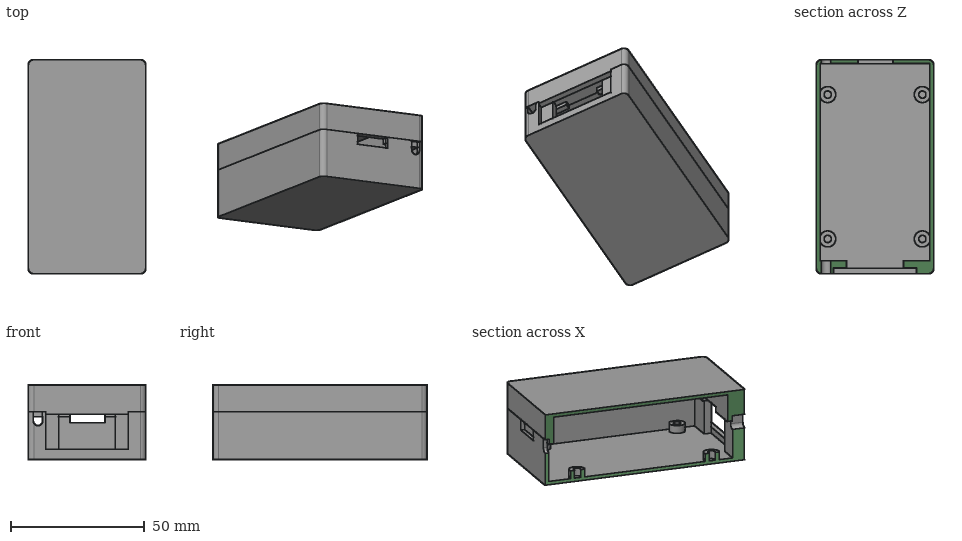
import cadquery as cq

WIDTH = 44.0
LENGTH = 80.1
HEIGHT = 28.0
CORNER_RADIUS = 2.0
SPLIT_Z = 18.0

WALL = 1.5
FRONT_WALL = 5.0

RECESS_WIDTH = 31.0
RECESS_BOTTOM = 3.9
RECESS_DEPTH = 2.2
WINDOW_WIDTH = 21.15
TAB_DROP = 1.05

REAR_OPENING_WIDTH = 13.0
REAR_OPENING_BOTTOM = 13.85
REAR_OPENING_X = 0.2

CABLE_SLOT_WIDTH = 3.4
CABLE_SLOT_BOTTOM = 12.8
CABLE_SLOT_X = -18.35

LIP_DEPTH = 2.0
LIP_THICKNESS = 2.0

POST_DIAMETER = 6.0
POST_HOLE_DIAMETER = 2.7
POST_HEIGHT = 3.05
POST_X = 17.7
POST_Y = 27.0

FRONT_Y = -LENGTH / 2
CAVITY_WIDTH = WIDTH - 2 * WALL
CAVITY_FRONT = FRONT_Y + FRONT_WALL
CAVITY_REAR = LENGTH / 2 - WALL
LIP_BOTTOM = SPLIT_Z - LIP_DEPTH


def block(width, y_range, z_range, x_centre=0.0):
    """Box of the given width, spanning a range in Y and a range in Z."""
    y_start, y_end = y_range
    z_start, z_end = z_range
    return (
        cq.Workplane("XY")
        .box(width, y_end - y_start, z_end - z_start, centered=(True, False, False))
        .translate((x_centre, y_start, z_start))
    )


def outer_block(z_range):
    """Full-footprint block with rounded vertical corners."""
    return block(WIDTH, (FRONT_Y, -FRONT_Y), z_range).edges("|Z").fillet(CORNER_RADIUS)


def cable_slot():
    """U-shaped cutter running the whole length of the base."""
    radius = CABLE_SLOT_WIDTH / 2
    arc_z = CABLE_SLOT_BOTTOM + radius
    return (
        cq.Workplane("XZ", origin=(CABLE_SLOT_X, -FRONT_Y, 0))
        .moveTo(-radius, SPLIT_Z)
        .lineTo(-radius, arc_z)
        .threePointArc((0, CABLE_SLOT_BOTTOM), (radius, arc_z))
        .lineTo(radius, SPLIT_Z)
        .close()
        .extrude(LENGTH)
    )


def standoffs():
    """Four hollow posts on the cavity floor."""
    return (
        cq.Workplane("XY", origin=(0, 0, WALL))
        .rect(2 * POST_X, 2 * POST_Y, forConstruction=True)
        .vertices()
        .circle(POST_DIAMETER / 2)
        .circle(POST_HOLE_DIAMETER / 2)
        .extrude(POST_HEIGHT)
    )


def make_base():
    cavity = block(CAVITY_WIDTH, (CAVITY_FRONT, CAVITY_REAR), (WALL, SPLIT_Z))
    recess = block(RECESS_WIDTH, (FRONT_Y, FRONT_Y + RECESS_DEPTH), (RECESS_BOTTOM, SPLIT_Z))
    window = block(WINDOW_WIDTH, (FRONT_Y + RECESS_DEPTH, CAVITY_FRONT), (WALL, SPLIT_Z))
    rear_opening = block(
        REAR_OPENING_WIDTH, (CAVITY_REAR, -FRONT_Y), (REAR_OPENING_BOTTOM, SPLIT_Z), REAR_OPENING_X
    )
    base = outer_block((0, SPLIT_Z)).cut(cavity).union(standoffs())
    return base.cut(recess).cut(window).cut(rear_opening).cut(cable_slot())


def make_lid():
    tab = block(RECESS_WIDTH, (FRONT_Y, FRONT_Y + RECESS_DEPTH), (SPLIT_Z - TAB_DROP, SPLIT_Z))
    lip = block(CAVITY_WIDTH, (CAVITY_FRONT, CAVITY_REAR), (LIP_BOTTOM, SPLIT_Z))
    hollow = block(
        CAVITY_WIDTH - 2 * LIP_THICKNESS,
        (CAVITY_FRONT + LIP_THICKNESS, CAVITY_REAR - LIP_THICKNESS),
        (LIP_BOTTOM, HEIGHT - WALL),
    )
    lip_gaps = block(REAR_OPENING_WIDTH, (CAVITY_FRONT, CAVITY_REAR), (LIP_BOTTOM, SPLIT_Z), REAR_OPENING_X)
    return outer_block((SPLIT_Z, HEIGHT)).union(lip.cut(lip_gaps)).cut(hollow).union(tab)


base = make_base()
lid = make_lid()

result = cq.Compound.makeCompound([base.val(), lid.val()])